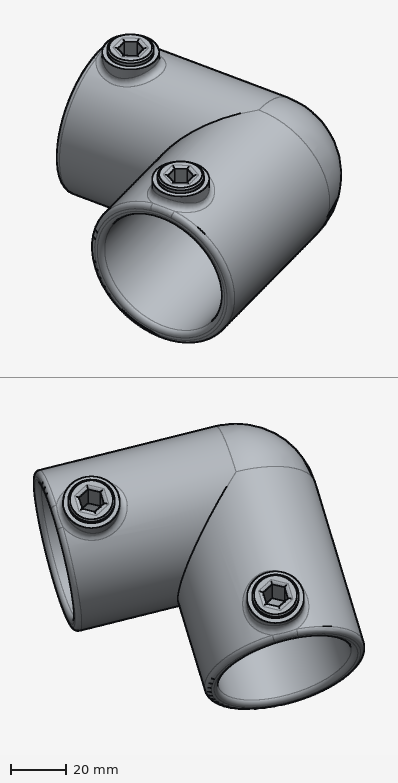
import cadquery as cq
overall_length = 98.0
tube_radius = 30.0
bore_radius = 25.0
rim_fillet = 2.0
arm_length = overall_length - tube_radius

boss_radius = 10.3
boss_top = 34.5
boss_fillet = 2.6
boss_end_distance = 13.9
boss_distance = arm_length - boss_end_distance
boss_centers = [(-boss_distance, 0), (0, -boss_distance)]

screw_radius = 8.4
screw_protrusion = 2.1
screw_top = boss_top + screw_protrusion
screw_bottom = 24.0
screw_chamfer = 0.7

channel_turns = (60, 120)
socket_width = 8.0
socket_mouth_width = 11.1
socket_mouth_depth = 0.6
socket_mouth_margin = (socket_mouth_width - socket_width) / 2
socket_mouth_radius = (socket_mouth_margin**2 + socket_mouth_depth**2) / (2 * socket_mouth_depth)


def on_boss_axes(z):
    """Both boss axes, as points on a horizontal workplane at height z."""
    return cq.Workplane("XY", origin=(0, 0, z)).pushPoints(boss_centers)


def make_elbow(radius):
    """Two round arms meeting at a ball of the same radius."""
    arm_to_left = cq.Workplane("YZ").circle(radius).extrude(-arm_length)
    arm_to_front = cq.Workplane("XZ").circle(radius).extrude(arm_length)
    return cq.Workplane("XY").sphere(radius).union(arm_to_left).union(arm_to_front)


def make_housing():
    """Elbow with a boss on each arm, bored through and drilled for the screws."""
    bosses = on_boss_axes(0).circle(boss_radius).extrude(boss_top)
    housing = make_elbow(tube_radius).union(bosses)

    boss_junctions = housing.edges("not (%LINE or %CIRCLE)").edges(">Z")
    housing = boss_junctions.fillet(boss_fillet)

    screw_holes = on_boss_axes(0).circle(screw_radius).extrude(boss_top)
    housing = housing.cut(make_elbow(bore_radius)).cut(screw_holes)

    return housing.faces("<X or <Y").edges().fillet(rim_fillet)


def make_socket():
    """Hexagonal hole on Z with two corners along Y, shared by three crossing straight channels."""
    channel = (
        cq.Workplane("XZ")
        .moveTo(-socket_width / 2, screw_bottom)
        .lineTo(socket_width / 2, screw_bottom)
        .lineTo(socket_width / 2, screw_top - socket_mouth_depth)
        .radiusArc((socket_mouth_width / 2, screw_top), socket_mouth_radius)
        .lineTo(-socket_mouth_width / 2, screw_top)
        .radiusArc((-socket_width / 2, screw_top - socket_mouth_depth), socket_mouth_radius)
        .close()
        .extrude(2 * screw_radius, both=True)
    )
    socket = channel
    for angle in channel_turns:
        socket = socket.intersect(channel.rotate((0, 0, 0), (0, 0, 1), angle))
    return socket


def make_screw(center):
    """Set screw standing on the given (x, y) point, at its height in the housing."""
    body = cq.Workplane("XY", origin=(0, 0, screw_bottom)).circle(screw_radius)
    body = body.extrude(screw_top - screw_bottom)
    body = body.edges(">Z").chamfer(screw_chamfer)
    return body.cut(make_socket()).translate((*center, 0))


housing = make_housing()
screws = [make_screw(center) for center in boss_centers]

result = cq.Compound.makeCompound([housing.val(), *[screw.val() for screw in screws]])